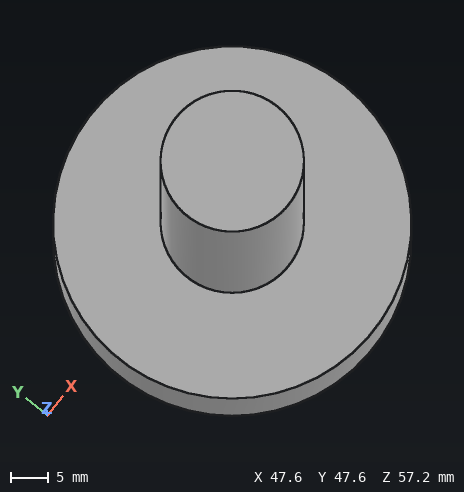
import cadquery as cq

head_diameter = 47.625
head_height = 12.7
stem_diameter = 19.05
total_height = 57.15

stem_height = total_height - head_height


def make_head():
    """Flat round head resting on the XY plane."""
    return cq.Workplane("XY").circle(head_diameter / 2).extrude(head_height)


def make_stem():
    """Round stem rising from the top of the head, on the same axis."""
    return (
        cq.Workplane("XY")
        .workplane(offset=head_height)
        .circle(stem_diameter / 2)
        .extrude(stem_height)
    )


result = make_head().union(make_stem())